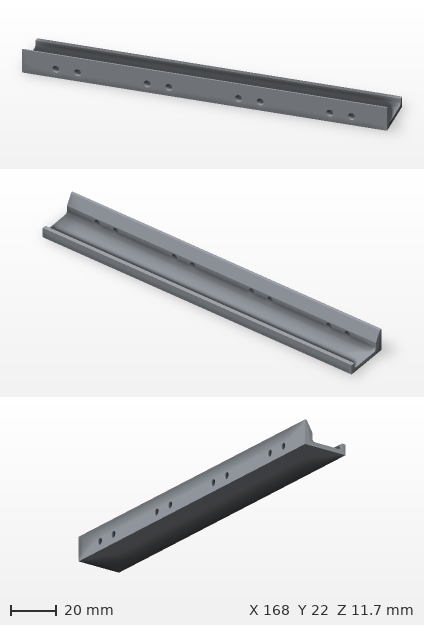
import cadquery as cq
import math

length = 168.0
width = 22.0
height = 11.7

floor_thickness = 2.1
lip_thickness = 2.0
lip_height = 5.1
lip_fillet = 1.5
wall_thickness = 4.0
wall_fillet = 1.5
wall_crest = 0.9
crest_fillet = 0.8
slope_angle = 60.0

hole_diameter = 2.9
chamfer_diameter = 3.4
hole_height = 4.3
pair_count = 4
pair_pitch = length / pair_count
pair_spacing = 10.0
first_hole = 15.6

lip_inner_y = width - lip_thickness
slope_rise = (wall_thickness - wall_crest) * math.tan(math.radians(slope_angle))
slope_start_z = height - slope_rise
arc_offset = 1 - math.sqrt(0.5)


def rail_body():
    """Extrude the channel cross-section along X."""
    wall_arc_inset = wall_fillet * arc_offset
    lip_arc_inset = lip_fillet * arc_offset
    body = (
        cq.Workplane("YZ")
        .lineTo(width, 0)
        .lineTo(width, lip_height)
        .lineTo(lip_inner_y, lip_height)
        .lineTo(lip_inner_y, floor_thickness + lip_fillet)
        .threePointArc(
            (lip_inner_y - lip_arc_inset, floor_thickness + lip_arc_inset),
            (lip_inner_y - lip_fillet, floor_thickness),
        )
        .lineTo(wall_thickness + wall_fillet, floor_thickness)
        .threePointArc(
            (wall_thickness + wall_arc_inset, floor_thickness + wall_arc_inset),
            (wall_thickness, floor_thickness + wall_fillet),
        )
        .lineTo(wall_thickness, slope_start_z)
        .lineTo(wall_crest, height)
        .lineTo(0, height)
        .close()
        .extrude(length)
    )
    crest_corner = cq.selectors.NearestToPointSelector((length / 2, wall_crest, height))
    return body.edges("|X").edges(crest_corner).fillet(crest_fillet)


def screw_hole(x):
    """Cutter for one hole through the wall, chamfered at its outer face."""
    drill = cq.Solid.makeCylinder(
        hole_diameter / 2, wall_thickness, cq.Vector(x, 0, hole_height), cq.Vector(0, 1, 0)
    )
    chamfer_depth = (chamfer_diameter - hole_diameter) / 2
    chamfer = cq.Solid.makeCone(
        chamfer_diameter / 2,
        hole_diameter / 2,
        chamfer_depth,
        cq.Vector(x, 0, hole_height),
        cq.Vector(0, 1, 0),
    )
    return drill.fuse(chamfer)


result = rail_body()
for pair in range(pair_count):
    pair_start = first_hole + pair * pair_pitch
    for hole_x in (pair_start, pair_start + pair_spacing):
        result = result.cut(cq.Workplane(obj=screw_hole(hole_x)))